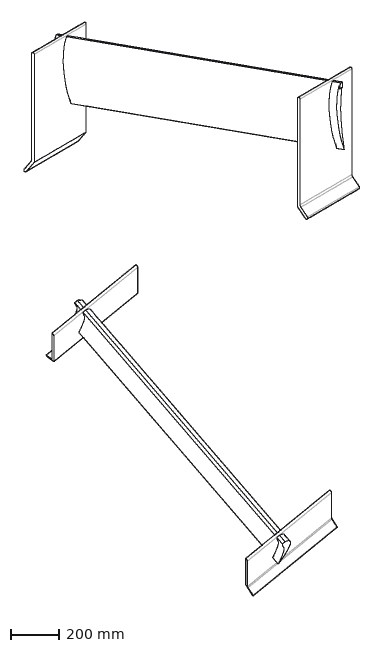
import cadquery as cq
import math

overall_length = 1346.0
nose_step = 4.0
plate_width = 456.0
height = 529.0
thickness = 13.0
plate_inset = 36.0
bend_height = 51.0
bend_radius = 16.0
nose_bottom = 493.0
nose_limits_y = (46.0, 73.0)

nose_back = (70.0, 517.0)
nose_front = (55.0, 517.0)
trailing_tip = (93.0, 213.0)
belly_points = [(38.0, 490.0), (27.0, 443.0), (25.0, 413.0), (35.0, 355.0), (50.0, 302.0), (71.0, 252.0)]
hollow_points = [(85.0, 241.0), (70.0, 312.0), (62.0, 375.0), (62.0, 427.0), (67.0, 470.0)]

blade_length = overall_length - nose_step
blade_end = blade_length / 2
edge_radius = thickness / 2
plate_middle = blade_end - plate_inset - edge_radius
tip_x = blade_end - edge_radius
tip_z = edge_radius


def blade(length):
    """Crescent-section blade running along X from the -X blade end."""
    return (
        cq.Workplane("YZ", origin=(-blade_end, 0, 0))
        .moveTo(*nose_front)
        .spline(belly_points + [trailing_tip], includeCurrent=True)
        .spline(hollow_points + [nose_back], includeCurrent=True)
        .close()
        .extrude(length)
    )


def end_plate():
    """Plate at the +X end with a splayed foot and fully rounded sheet ends."""
    foot_x = tip_x - plate_middle
    foot_z = tip_z - bend_height
    foot_length = math.hypot(foot_x, foot_z)
    along_x = foot_x / foot_length
    along_z = foot_z / foot_length
    side_x = -along_z * edge_radius
    side_z = along_x * edge_radius
    half_turn = math.atan2(foot_x, -foot_z) / 2
    mitre_rise = edge_radius * math.tan(half_turn)
    inner_x = plate_middle - edge_radius
    outer_x = plate_middle + edge_radius
    round_start = height - edge_radius

    plate = (
        cq.Workplane("XZ", origin=(0, plate_width / 2, 0))
        .moveTo(inner_x, round_start)
        .lineTo(inner_x, bend_height - mitre_rise)
        .lineTo(tip_x - side_x, tip_z - side_z)
        .threePointArc(
            (tip_x + along_x * edge_radius, tip_z + along_z * edge_radius),
            (tip_x + side_x, tip_z + side_z),
        )
        .lineTo(outer_x, bend_height + mitre_rise)
        .lineTo(outer_x, round_start)
        .threePointArc((plate_middle, height), (inner_x, round_start))
        .close()
        .extrude(plate_width)
    )
    bend_corner = cq.selectors.NearestToPointSelector((outer_x, 0, bend_height + mitre_rise))
    return plate.edges("|Y").edges(bend_corner).fillet(bend_radius)


def nose_tip():
    """Short lengthening of the blade nose at the +X end."""
    front_y, back_y = nose_limits_y
    nose_zone = cq.Workplane("XY").box(
        thickness, back_y - front_y, height - nose_bottom, centered=False
    ).translate((blade_end - thickness / 2, front_y, nose_bottom))
    return blade(overall_length).intersect(nose_zone)


right_plate = end_plate()
left_plate = right_plate.mirror("YZ")
result = blade(blade_length).union(right_plate).union(left_plate).union(nose_tip())